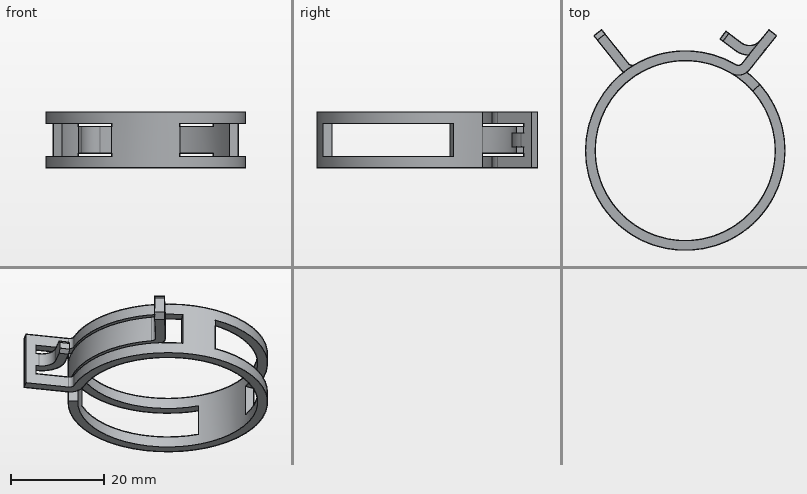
import cadquery as cq
import math


outer_radius = 21.35
thickness = 2.1
band_width = 12.0
slot_width = 7.0
tongue_width = 5.8
inner_radius = outer_radius - thickness

tab_angle = 51.5
tab_tip_radius = 31.4
bend_radius = 1.0
tab_tip_chamfer = 1.2

band_end_angle = 41.5
window_rear_angle = 21.7
front_bridge_half_angle = 20.0

hook_width = 3.0
hook_tip_chamfer = 0.8
hook_turn = 88.5
hook_bend_radius = 3.0
hook_corner_radius = 25.6
hook_length = 7.0
hook_root_radius = 29.25

outer_bend_radius = bend_radius + thickness
bend_center_radius = outer_radius + bend_radius
bend_start_angle = tab_angle + math.degrees(math.asin(outer_bend_radius / bend_center_radius))
bend_end_radius = math.sqrt(bend_center_radius**2 - outer_bend_radius**2)

ring_cutter_margin = 1.0


def polar(radius, angle):
    a = math.radians(angle)
    return (radius * math.cos(a), radius * math.sin(a))


def shifted(point, distance, angle):
    dx, dy = polar(distance, angle)
    return (point[0] + dx, point[1] + dy)


def mid_plane_extrude(outline, width):
    return outline.close().extrude(width / 2, both=True)


def ring_sector(start, end, r_in, r_out, width):
    """Part of a ring from the start angle counter-clockwise to the end angle."""
    middle = (start + end) / 2
    outline = (
        cq.Workplane("XY")
        .moveTo(*polar(r_in, start))
        .lineTo(*polar(r_out, start))
        .threePointArc(polar(r_out, middle), polar(r_out, end))
        .lineTo(*polar(r_in, end))
        .threePointArc(polar(r_in, middle), polar(r_in, start))
    )
    return mid_plane_extrude(outline, width)


def chamfer_tip(blade, direction, size):
    """Break the two tip corners of a blade that points along the given angle."""
    dx, dy = polar(1.0, direction)
    tip_edges = blade.faces(cq.selectors.DirectionMinMaxSelector(cq.Vector(dx, dy, 0), True))
    corner_edges = tip_edges.edges("<Z or >Z")
    return corner_edges.chamfer(size)


def bent_tab(width):
    """The +X side tab: the strip leaves the ring through a bend and runs straight out."""
    left = tab_angle + 90
    center = polar(bend_center_radius, bend_start_angle)
    to_ring = bend_start_angle + 180
    to_tab = left + 180
    to_middle = (to_ring + to_tab) / 2
    inner_tip = polar(tab_tip_radius, tab_angle)
    outer_tip = shifted(inner_tip, thickness, left)
    outline = (
        cq.Workplane("XY")
        .moveTo(*polar(outer_radius, bend_start_angle))
        .lineTo(*polar(inner_radius, bend_start_angle))
        .threePointArc(shifted(center, outer_bend_radius, to_middle), polar(bend_end_radius, tab_angle))
        .lineTo(*inner_tip)
        .lineTo(*outer_tip)
        .lineTo(*shifted(center, bend_radius, to_tab))
        .threePointArc(
            shifted(center, bend_radius, to_middle),
            polar(outer_radius, bend_start_angle),
        )
    )
    return mid_plane_extrude(outline, width)


def wide_band():
    """Full-width strip from its plain end, clockwise past -Y and -X to the wide tab."""
    ring = ring_sector(bend_start_angle, band_end_angle + 360, inner_radius, outer_radius, band_width)
    return ring.union(bent_tab(band_width))


def window(start, end):
    r_in = inner_radius - ring_cutter_margin
    r_out = outer_radius + ring_cutter_margin
    return ring_sector(start, end, r_in, r_out, slot_width)


def tab_slot():
    """Slot along the wide tab, through the bend, up to the root of the hook."""
    end_limit = cq.Workplane("XY").circle(hook_root_radius).extrude(band_width / 2, both=True)
    return bent_tab(slot_width).intersect(end_limit)


def tongue():
    """Narrow strip running inside the rear slot, ending in the chamfered -X side tab."""
    strip = ring_sector(band_end_angle, 180 - bend_start_angle, inner_radius, outer_radius, tongue_width)
    tab = chamfer_tip(bent_tab(tongue_width), tab_angle, tab_tip_chamfer).mirror("YZ")
    return strip.union(tab)


def hook():
    """Flap rooted at the outer end of the tab slot, curling back over the ring."""
    left = tab_angle + 90
    down_tab = tab_angle + 180
    heading = down_tab - hook_turn
    tangent = hook_bend_radius * math.tan(math.radians(hook_turn / 2))
    hook_outer_radius = hook_bend_radius + thickness

    root_inner = polar(hook_root_radius, tab_angle)
    root_outer = shifted(root_inner, thickness, left)
    corner = shifted(polar(hook_corner_radius, tab_angle), thickness, left)
    bend_start = shifted(corner, tangent, tab_angle)
    center = shifted(bend_start, hook_bend_radius, left)
    to_root = left + 180
    to_middle = to_root - hook_turn / 2
    to_end = to_root - hook_turn
    tip_upper = shifted(corner, hook_length, heading)
    tip_lower = shifted(tip_upper, thickness, to_end)
    outline = (
        cq.Workplane("XY")
        .moveTo(*root_inner)
        .lineTo(*root_outer)
        .lineTo(*bend_start)
        .threePointArc(
            shifted(center, hook_bend_radius, to_middle),
            shifted(center, hook_bend_radius, to_end),
        )
        .lineTo(*tip_upper)
        .lineTo(*tip_lower)
        .lineTo(*shifted(center, hook_outer_radius, to_end))
        .threePointArc(
            shifted(center, hook_outer_radius, to_middle),
            shifted(center, hook_outer_radius, to_root),
        )
    )
    return chamfer_tip(mid_plane_extrude(outline, hook_width), heading, hook_tip_chamfer)


band = wide_band()
rear_slot = window(bend_start_angle, 180 - band_end_angle)
left_window = window(180 - window_rear_angle, 270 - front_bridge_half_angle)
right_window = window(270 + front_bridge_half_angle, 360 + window_rear_angle)
for opening in (rear_slot, left_window, right_window, tab_slot()):
    band = band.cut(opening)

result = band.union(tongue()).union(hook())